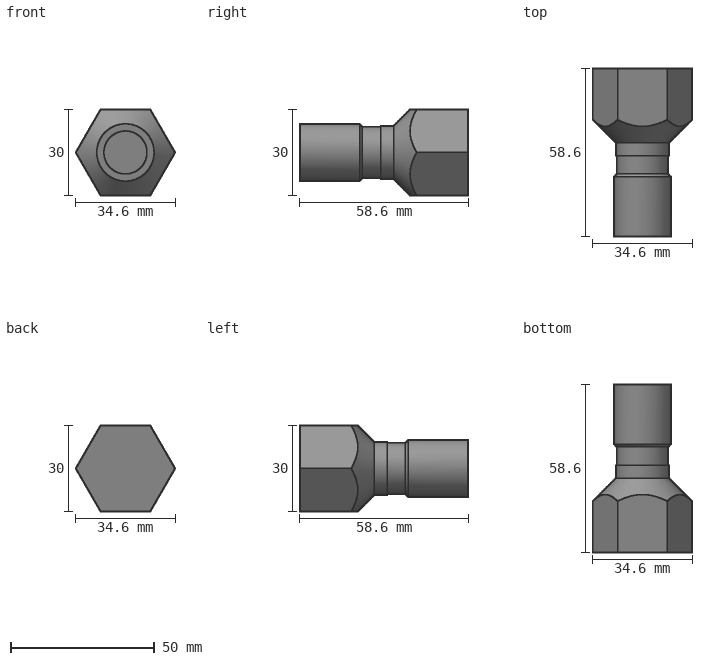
import cadquery as cq
import math

total_length = 58.6
hex_across_flats = 30.0
hex_across_corners = hex_across_flats / math.cos(math.pi / 6)

spigot_radius = 20.0 / 2
spigot_length = 20.8
neck_radius = 18.0 / 2
neck_end = 28.1
collar_radius = 18.5 / 2
collar_end = 32.65

bore_diameter = 15.0
bore_depth = spigot_length

bevel_end = spigot_length + spigot_radius - neck_radius
corner_radius = hex_across_corners / 2
cone_end = collar_end + corner_radius - collar_radius


def turned_envelope():
    """Revolve the stepped outline; the cone runs out to the hexagon's corners."""
    outline = (
        cq.Workplane("XY")
        .moveTo(0, 0)
        .lineTo(spigot_radius, 0)
        .lineTo(spigot_radius, spigot_length)
        .lineTo(neck_radius, bevel_end)
        .lineTo(neck_radius, neck_end)
        .lineTo(collar_radius, neck_end)
        .lineTo(collar_radius, collar_end)
        .lineTo(corner_radius, cone_end)
        .lineTo(corner_radius, total_length)
        .lineTo(0, total_length)
        .close()
    )
    return outline.revolve(360, (0, 0, 0), (0, 1, 0))


def hexagon_bar():
    """Hexagonal bar with corners on the X axis."""
    return cq.Workplane("XZ").polygon(6, hex_across_corners).extrude(-total_length)


def spigot_bore():
    return cq.Workplane("XZ").circle(bore_diameter / 2).extrude(-bore_depth)


result = turned_envelope().intersect(hexagon_bar()).cut(spigot_bore())